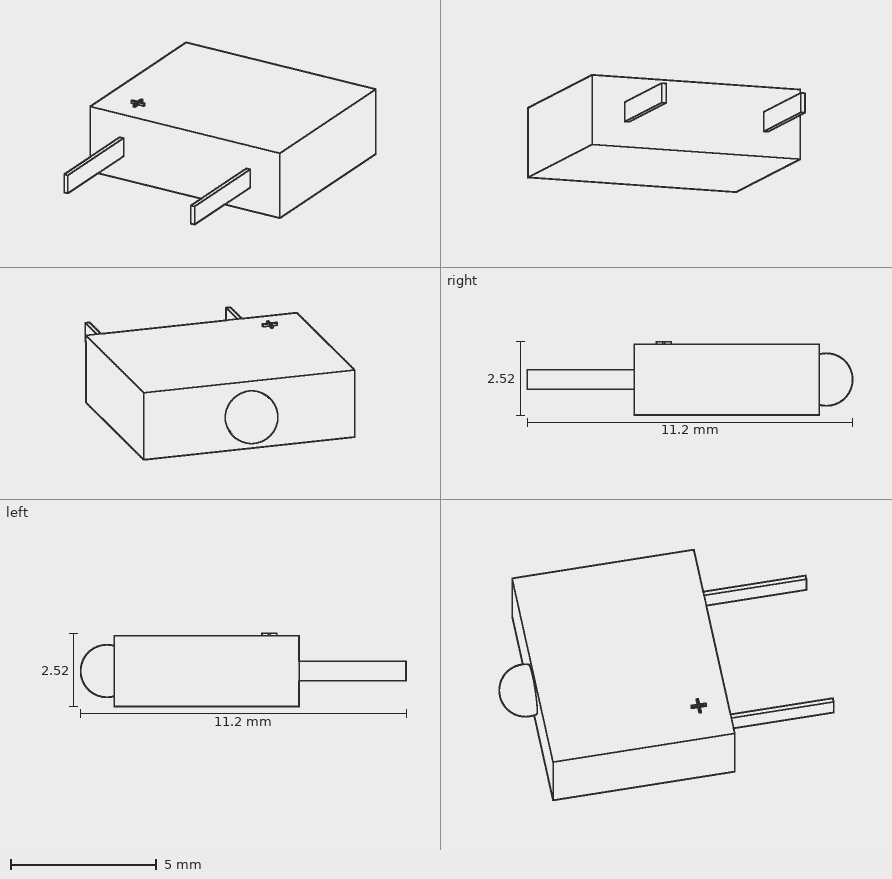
import cadquery as cq

overall_length = 11.17
body_width = 7.62
body_length = 6.35
body_height = 2.44
lead_pitch = 5.08
lead_thickness = 0.16
lead_width = 0.68
lead_length = 3.67
dome_radius = 0.9
mark_height = 0.085
mark_arm_length = 0.51
mark_arm_width = 0.07
mark_from_center = 2.5
mark_from_front = 1.02

mid_height = body_height / 2
dome_tip_y = overall_length - lead_length
dome_center_y = dome_tip_y - dome_radius


def make_body():
    """Plain rectangular housing."""
    return cq.Workplane("XY").box(body_width, body_length, body_height, centered=(True, False, False))


def make_lead(x):
    """Flat lead standing on edge and projecting from the front face."""
    return (
        cq.Workplane("XZ")
        .center(x, mid_height)
        .rect(lead_thickness, lead_width)
        .extrude(lead_length)
    )


def make_dome():
    """Spherical lens, partly sunk into the back face."""
    return cq.Workplane("XY").sphere(dome_radius).translate((0, dome_center_y, mid_height))


def make_polarity_mark():
    """Raised plus sign on the top face, near one lead."""
    center = (-mark_from_center, mark_from_front)
    plane = cq.Workplane("XY").workplane(offset=body_height).center(*center)
    arm_along_x = plane.rect(mark_arm_length, mark_arm_width).extrude(mark_height)
    arm_along_y = plane.rect(mark_arm_width, mark_arm_length).extrude(mark_height)
    return arm_along_x.union(arm_along_y)


result = make_body().union(make_dome()).union(make_polarity_mark())
for side in (-1, 1):
    result = result.union(make_lead(side * lead_pitch / 2))